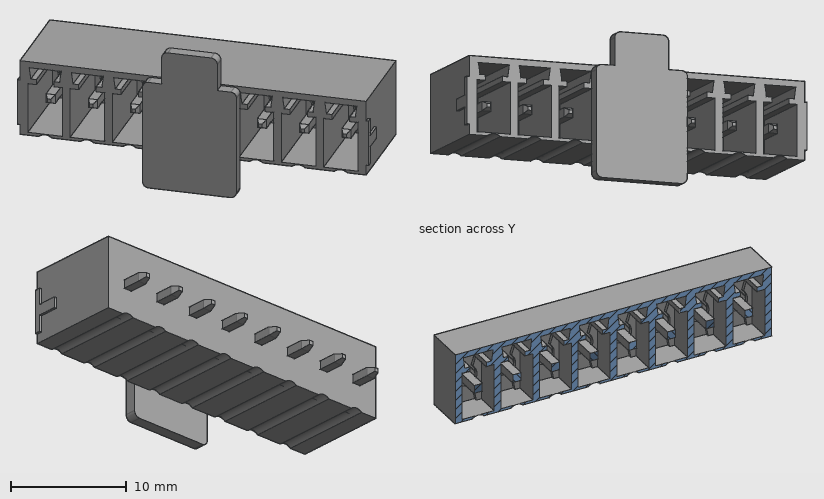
import cadquery as cq

pin_count = 8
row_length = 26.67
pitch = row_length / (pin_count - 1)
pin_xs = [-row_length / 2 + i * pitch for i in range(pin_count)]
pin_axis_z = 2.95

overall_length = 31.67
rib_projection = 0.22
housing_length = overall_length - 2 * rib_projection
housing_depth = 9.2
housing_height = 6.97
rib_bar_bottom = 0.92
rib_bar_height = 4.2
rib_bar_depth = 0.57
rib_stem_height = 1.05
rib_stem_depth = 2.47

chamber_width = 3.1
chamber_bottom = 0.3
chamber_top = 4.88
chamber_depth = 7.6
neck_width = 1.58
lug_height = 0.48
slot_bottom = chamber_top + lug_height
slot_top = 6.4
slot_bottom_width = 2.6
slot_top_width = 2.88

recess_depth = 0.32
recess_circle_diameter = 2.22
recess_waist_width = 1.4
recess_waist_offset = 0.82
recess_end_width = 2.1
boss_diameter = 1.8

groove_diameter = 1.8
groove_height = 0.22

pin_size = 0.82
pin_front_y = 1.2
pin_back_projection = 2.6
rear_tip_length = 0.8
rear_tip_size = 0.38
front_tip_length = 0.5
front_tip_size = 0.32

plate_thickness = 1.1
plate_width = 8.5
plate_bottom = -3.15
plate_shoulder = 6.85
plate_top = 9.85
tab_width = 5.05
plate_corner_radius = 0.57
shoulder_radius = 0.5


def front_plane(x, y):
    """Workplane facing backwards: local x, y run along X, Z and extrusion runs along +Y."""
    return cq.Workplane("XZ", origin=(x, y, 0))


def block(width, depth, height, x, y, z):
    """Box centred on x, starting at y and standing on z."""
    return cq.Workplane("XY").box(width, depth, height, centered=(True, False, False)).translate((x, y, z))


def square_taper(size, tip_size, length, x, y, direction):
    """Truncated pyramid on the pin axis, narrowing from y along direction (+1 or -1)."""
    return (
        cq.Workplane("XZ", origin=(x, y, pin_axis_z))
        .rect(size, size)
        .workplane(offset=-direction * length)
        .rect(tip_size, tip_size)
        .loft(ruled=True)
    )


def end_rib(side):
    """T-shaped rib on one end of the housing; its inner half is buried in the end wall."""
    x = side * housing_length / 2
    bar = block(2 * rib_projection, rib_bar_depth, rib_bar_height, x, 0, rib_bar_bottom)
    stem_bottom = rib_bar_bottom + (rib_bar_height - rib_stem_height) / 2
    return bar.union(block(2 * rib_projection, rib_stem_depth, rib_stem_height, x, 0, stem_bottom))


def top_slot(x, depth):
    """Keying slot above the lugs, wider at its top."""
    return (
        front_plane(x, 0)
        .moveTo(-slot_bottom_width / 2, slot_bottom)
        .lineTo(slot_bottom_width / 2, slot_bottom)
        .lineTo(slot_top_width / 2, slot_top)
        .lineTo(-slot_top_width / 2, slot_top)
        .close()
        .extrude(-depth)
    )


def wall_recess(x):
    """Waisted recess in the chamber back wall, less the boss that stands around the pin."""
    waist_top = pin_axis_z + recess_waist_offset
    waist_bottom = pin_axis_z - recess_waist_offset
    right_side = [
        (recess_end_width / 2, chamber_bottom),
        (recess_waist_width / 2, waist_bottom),
        (recess_waist_width / 2, waist_top),
        (recess_end_width / 2, chamber_top),
    ]
    left_side = [(-px, pz) for px, pz in reversed(right_side)]
    waisted = front_plane(x, chamber_depth).polyline(right_side + left_side).close().extrude(-recess_depth)
    axis = front_plane(x, chamber_depth).center(0, pin_axis_z)
    disc = axis.circle(recess_circle_diameter / 2).extrude(-recess_depth)
    boss = axis.circle(boss_diameter / 2).extrude(-recess_depth)
    return waisted.union(disc).cut(boss)


def chamber(x):
    """Everything removed from the housing front for one contact."""
    full_depth = chamber_depth + recess_depth
    chamber_height = chamber_top - chamber_bottom
    main = block(chamber_width, chamber_depth, chamber_height, x, 0, chamber_bottom)
    neck_height = slot_bottom - chamber_top
    neck = block(neck_width, full_depth, neck_height, x, 0, chamber_top)
    return main.union(neck).union(top_slot(x, full_depth)).union(wall_recess(x))


def underside_groove(x):
    """Shallow round groove along the full depth of the underside."""
    return (
        front_plane(x, 0)
        .center(0, groove_height - groove_diameter / 2)
        .circle(groove_diameter / 2)
        .extrude(-housing_depth)
    )


def make_pin(x):
    """Square contact pin, tapered at both ends."""
    shaft_front = pin_front_y + front_tip_length
    shaft_back = housing_depth + pin_back_projection - rear_tip_length
    shaft = block(pin_size, shaft_back - shaft_front, pin_size, x, shaft_front, pin_axis_z - pin_size / 2)
    front_tip = square_taper(pin_size, front_tip_size, front_tip_length, x, shaft_front, -1)
    rear_tip = square_taper(pin_size, rear_tip_size, rear_tip_length, x, shaft_back, 1)
    return shaft.union(front_tip).union(rear_tip)


def make_housing():
    body = block(housing_length, housing_depth, housing_height, 0, 0, 0)
    for side in (-1, 1):
        body = body.union(end_rib(side))
    for x in pin_xs:
        body = body.cut(chamber(x)).cut(underside_groove(x))
        body = body.cut(block(pin_size, housing_depth, pin_size, x, 0, pin_axis_z - pin_size / 2))
    return body


def make_plate():
    """Flat plate with a narrower tab on top; all outer corners are rounded."""
    wide = block(plate_width, plate_thickness, plate_shoulder - plate_bottom, 0, -plate_thickness, plate_bottom)
    wide = wide.edges("|Y and <Z").fillet(plate_corner_radius)
    wide = wide.edges("|Y and >Z").fillet(shoulder_radius)
    tab = block(tab_width, plate_thickness, plate_top - plate_shoulder, 0, -plate_thickness, plate_shoulder)
    tab = tab.edges("|Y and >Z").fillet(plate_corner_radius)
    return wide.union(tab)


housing = make_housing()
plate = make_plate()
pins = [make_pin(x) for x in pin_xs]

result = cq.Compound.makeCompound([housing.val(), plate.val(), *[pin.val() for pin in pins]])